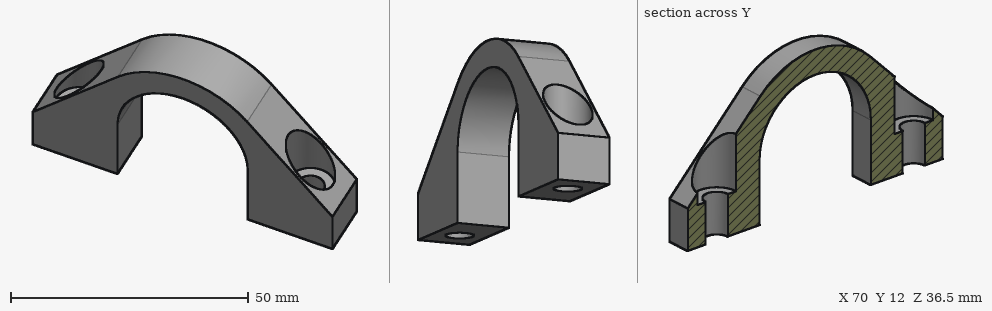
import cadquery as cq
import math

length = 70.0
width = 12.0
height = 36.5
end_height = 10.0
wall = 6.0
opening_radius = 15.2
hole_spacing = 54.05
hole_diameter = 6.0
counterbore_diameter = 10.4
counterbore_floor = 10.0

half_length = length / 2
arch_radius = opening_radius + wall
arch_center = height - arch_radius

rise = end_height - arch_center
reach = math.hypot(half_length, rise)
tangent_angle = math.atan2(rise, half_length) + math.acos(arch_radius / reach)
tangent_x = arch_radius * math.cos(tangent_angle)
tangent_z = arch_center + arch_radius * math.sin(tangent_angle)


def make_saddle():
    """Arched clamp profile, extruded symmetrically about the XZ plane."""
    return (
        cq.Workplane("XZ")
        .moveTo(-half_length, 0)
        .lineTo(-half_length, end_height)
        .lineTo(-tangent_x, tangent_z)
        .threePointArc((0, height), (tangent_x, tangent_z))
        .lineTo(half_length, end_height)
        .lineTo(half_length, 0)
        .lineTo(opening_radius, 0)
        .lineTo(opening_radius, arch_center)
        .threePointArc((0, arch_center + opening_radius), (-opening_radius, arch_center))
        .lineTo(-opening_radius, 0)
        .close()
        .extrude(width / 2, both=True)
    )


def vertical_bores(diameter, bottom):
    """A pair of cylinders at the screw positions, from bottom up past the slopes."""
    return (
        cq.Workplane("XY", origin=(0, 0, bottom))
        .pushPoints([(-hole_spacing / 2, 0), (hole_spacing / 2, 0)])
        .circle(diameter / 2)
        .extrude(height - bottom)
    )


screw_holes = vertical_bores(hole_diameter, 0)
counterbores = vertical_bores(counterbore_diameter, counterbore_floor)
result = make_saddle().cut(screw_holes).cut(counterbores)